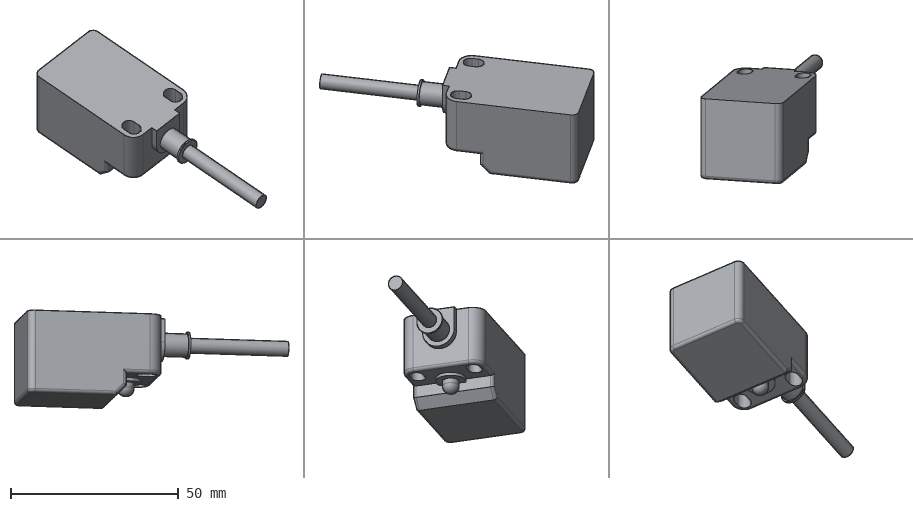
import cadquery as cq

BODY_LENGTH = 40.7
BODY_WIDTH = 25.5
BODY_HEIGHT = 24.7
FACE_CORNER_RADIUS = 2.0
CABLE_CORNER_RADIUS = 4.0
BOTTOM_FILLET = 1.0

STEP_LENGTH = 11.0
STEP_DEPTH = 18.0
STEP_CHAMFER = 3.0
STEP_WALL_X = BODY_LENGTH - STEP_LENGTH

SLOT_LENGTH = 6.2
SLOT_WIDTH = 4.2
SLOT_END_INSET = 4.5
SLOT_CENTER_X = BODY_LENGTH - SLOT_END_INSET
SLOT_SPACING = 18.0

CABLE_AXIS_Z = -7.0
LUG_LENGTH = 2.0
LUG_WIDTH = 10.0
GLAND_DIAMETER = 7.0
GLAND_LENGTH = 8.0
RIM_DIAMETER = 8.0
RIM_THICKNESS = 0.6
CABLE_DIAMETER = 4.5
CABLE_LENGTH = 30.0
LUG_END_X = BODY_LENGTH + LUG_LENGTH
GLAND_END_X = LUG_END_X + GLAND_LENGTH
CABLE_END_X = GLAND_END_X + CABLE_LENGTH

LAMP_DIAMETER = 5.0
LAMP_WALL_OFFSET = 2.0
LAMP_CENTER_X = STEP_WALL_X + LAMP_WALL_OFFSET
LAMP_TIP_DEPTH = 23.0
LAMP_BASE_DIAMETER = 9.0
LAMP_BASE_HEIGHT = 1.0


def make_housing():
    """Stepped block with rounded upright corners and a rounded underside."""
    profile = (
        cq.Workplane("XZ")
        .polyline([
            (0, 0),
            (BODY_LENGTH, 0),
            (BODY_LENGTH, -STEP_DEPTH),
            (STEP_WALL_X, -STEP_DEPTH),
            (STEP_WALL_X, STEP_CHAMFER - BODY_HEIGHT),
            (STEP_WALL_X - STEP_CHAMFER, -BODY_HEIGHT),
            (0, -BODY_HEIGHT),
        ])
        .close()
        .extrude(BODY_WIDTH / 2, both=True)
    )
    rounded = profile.edges("|Z and <X").fillet(FACE_CORNER_RADIUS)
    rounded = rounded.edges("|Z and >X").fillet(CABLE_CORNER_RADIUS)
    return round_underside(rounded)


def round_underside(body):
    """Round the outer rim of the bottom, the chamfer, the step wall and the step ceiling."""
    step_region = cq.selectors.BoxSelector(
        (STEP_WALL_X - STEP_CHAMFER, -BODY_WIDTH / 2, -BODY_HEIGHT),
        (BODY_LENGTH, BODY_WIDTH / 2, -STEP_DEPTH + BOTTOM_FILLET),
    )
    underside_faces = body.faces("<Z").vals() + body.faces(step_region).vals()
    rim = []
    for face in underside_faces:
        neighbours = [other for other in underside_faces if not other.isSame(face)]
        inner_edges = [edge for other in neighbours for edge in other.Edges()]
        rim += [edge for edge in face.Edges() if not any(edge.isSame(inner) for inner in inner_edges)]
    return body.newObject(rim).fillet(BOTTOM_FILLET)


def cut_mounting_slots(body):
    """Cut the two slots, long way along X, through the full height of the step."""
    slots = (
        cq.Workplane("XY")
        .pushPoints([(SLOT_CENTER_X, side * SLOT_SPACING / 2) for side in (-1, 1)])
        .slot2D(SLOT_LENGTH, SLOT_WIDTH)
        .extrude(-BODY_HEIGHT)
    )
    return body.cut(slots)


def rod_along_x(start_x, end_x, diameter):
    """Round bar on the cable axis."""
    return (
        cq.Workplane("YZ", origin=(start_x, 0, CABLE_AXIS_Z))
        .circle(diameter / 2)
        .extrude(end_x - start_x)
    )


def make_cable_lug():
    """Lug flush with the top of the housing, with a half-round lower end."""
    half_width = LUG_WIDTH / 2
    return (
        cq.Workplane("YZ", origin=(BODY_LENGTH, 0, 0))
        .moveTo(-half_width, 0)
        .lineTo(-half_width, CABLE_AXIS_Z)
        .threePointArc((0, CABLE_AXIS_Z - half_width), (half_width, CABLE_AXIS_Z))
        .lineTo(half_width, 0)
        .close()
        .extrude(LUG_LENGTH)
    )


def make_cable():
    """Gland, thin rim at its outer end, and cable."""
    gland = rod_along_x(LUG_END_X, GLAND_END_X, GLAND_DIAMETER)
    rim = rod_along_x(GLAND_END_X - RIM_THICKNESS, GLAND_END_X, RIM_DIAMETER)
    cable = rod_along_x(GLAND_END_X, CABLE_END_X, CABLE_DIAMETER)
    return gland.union(rim).union(cable)


def make_lamp():
    """Domed lamp on a round base; both run partly into the step wall."""
    radius = LAMP_DIAMETER / 2
    dome_center_depth = LAMP_TIP_DEPTH - radius
    ceiling = cq.Workplane("XY", origin=(LAMP_CENTER_X, 0, -STEP_DEPTH))
    base = ceiling.circle(LAMP_BASE_DIAMETER / 2).extrude(-LAMP_BASE_HEIGHT)
    stem = ceiling.circle(radius).extrude(STEP_DEPTH - dome_center_depth)
    dome = cq.Workplane("XY", origin=(LAMP_CENTER_X, 0, -dome_center_depth)).sphere(radius)
    return base.union(stem).union(dome)


housing = cut_mounting_slots(make_housing())
result = housing.union(make_cable_lug()).union(make_cable()).union(make_lamp())